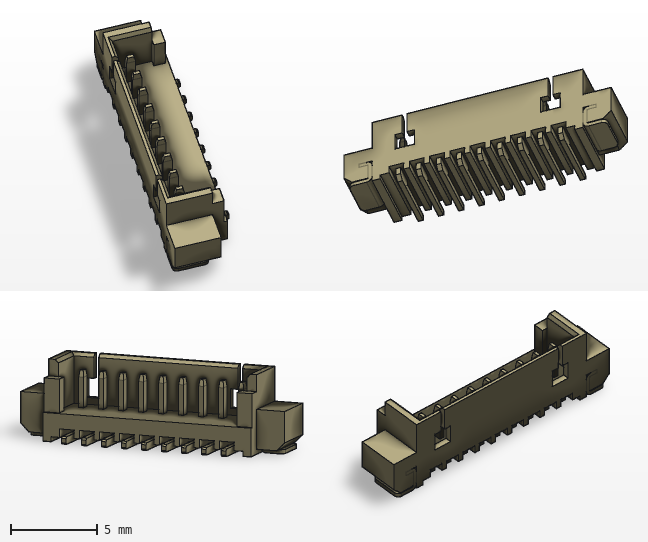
import cadquery as cq


total_width = 16.5
total_height = 4.7
total_depth = 4.2

body_width = 13.0
base_depth = 3.7
floor_height = 1.7
wall_depth = 2.8
side_wall = 0.6
front_wall = 0.4
mouth_chamfer = 0.2
post_width = 0.95
post_back = 3.5
post_height = 3.7
half_body = body_width / 2
half_total = total_width / 2

wing_top = 2.65
wing_bottom = 0.3
wing_chamfer = 0.5

latch_slot_x = 4.5
latch_slot_width = 0.3
window_width = 1.2
window_bottom = 2.1
window_top = 3.25

pin_count = 9
pin_pitch = 1.25
pin_width = 0.3
pin_thickness = 0.55
pin_front = 0.95
pin_top = 3.9
pin_tip_width = 0.2
pin_tip_thickness = 0.4
pin_tip_height = 0.4
pin_foot_height = 0.45
pin_heel_front = 0.3
pin_heel_top = 1.2
pin_heel_chamfer = 0.3
pin_toe_chamfer = 0.1

leg_width = 0.5
leg_height = wing_bottom
pin_notch_width = 0.9
pin_notch_height = 0.8

clip_thickness = 0.25
clip_depth = 2.2
clip_top = 1.6
clip_hook_end = 7.3
clip_foot_end = 7.95
clip_inner_radius = 0.1
clip_outer_radius = clip_inner_radius + clip_thickness
clip_corner_radius = 0.3


def block(x_range, y_range, z_range):
    """Axis-aligned box between the given limits."""
    sizes = [high - low for low, high in (x_range, y_range, z_range)]
    corner = (x_range[0], y_range[0], z_range[0])
    return cq.Workplane("XY").box(*sizes, centered=False).translate(corner)


def both_ends(shape):
    """The shape together with its mirror image at the other end of the row."""
    return shape.union(shape.mirror("YZ"))


def pin_positions():
    first = -(pin_count - 1) * pin_pitch / 2
    return [first + index * pin_pitch for index in range(pin_count)]


def make_wing():
    wing = block((half_body, half_total), (0, wall_depth), (wing_bottom, wing_top))
    return wing.edges(">X and <Z").chamfer(wing_chamfer)


def make_cavity():
    """Mating space above the floor, open at the back and flared at the mouth."""
    inner_half = half_body - side_wall
    cavity = block((-inner_half, inner_half), (front_wall, base_depth), (floor_height, total_height))
    flare_width = 2 * (inner_half + mouth_chamfer)
    flare_front = front_wall - mouth_chamfer
    flare_depth = base_depth + mouth_chamfer - flare_front
    flare = (
        cq.Workplane("XY", origin=(0, flare_front + flare_depth / 2, total_height))
        .rect(flare_width, flare_depth)
        .workplane(offset=-mouth_chamfer)
        .rect(flare_width - 2 * mouth_chamfer, flare_depth - 2 * mouth_chamfer)
        .loft(combine=True)
    )
    return cavity.union(flare)


def make_latch_opening():
    """T-shaped opening: a narrow slot from the top edge down into a wider window."""
    slot = block(
        (latch_slot_x - latch_slot_width / 2, latch_slot_x + latch_slot_width / 2),
        (0, front_wall),
        (window_top, total_height),
    )
    window = block(
        (latch_slot_x - window_width / 2, latch_slot_x + window_width / 2),
        (0, front_wall),
        (window_bottom, window_top),
    )
    return slot.union(window)


def make_underside_relief():
    relief_half = half_body - leg_width
    relief = block((-relief_half, relief_half), (0, base_depth), (0, leg_height))
    for x in pin_positions():
        half_notch = pin_notch_width / 2
        relief = relief.union(block((x - half_notch, x + half_notch), (0, base_depth), (0, pin_notch_height)))
    return relief


def make_housing():
    base = block((-half_body, half_body), (0, base_depth), (0, floor_height))
    shroud = block((-half_body, half_body), (0, wall_depth), (0, total_height)).cut(make_cavity())
    post = block((half_body - post_width, half_body), (wall_depth, post_back), (0, post_height))
    wings = both_ends(make_wing())
    housing = base.union(shroud).union(both_ends(post)).union(wings)
    housing = housing.cut(both_ends(make_latch_opening()))
    return housing.cut(make_underside_relief())


def make_pin(x):
    """Contact: upright blade with a tapered tip, a heel near the front and a foot running to the back."""
    pin_back = pin_front + pin_thickness
    shoulder = pin_top - pin_tip_height
    blade_and_foot = (
        cq.Workplane("YZ", origin=(x - pin_width / 2, 0, 0))
        .moveTo(pin_heel_front + pin_heel_chamfer, 0)
        .lineTo(total_depth - pin_toe_chamfer, 0)
        .lineTo(total_depth, pin_toe_chamfer)
        .lineTo(total_depth, pin_foot_height - pin_toe_chamfer)
        .lineTo(total_depth - pin_toe_chamfer, pin_foot_height)
        .lineTo(pin_back, pin_foot_height)
        .lineTo(pin_back, shoulder)
        .lineTo(pin_front, shoulder)
        .lineTo(pin_front, pin_heel_top)
        .lineTo(pin_heel_front, pin_heel_top)
        .lineTo(pin_heel_front, pin_heel_chamfer)
        .close()
        .extrude(pin_width)
    )
    tip = (
        cq.Workplane("XY", origin=(x, pin_front + pin_thickness / 2, shoulder))
        .rect(pin_width, pin_thickness)
        .workplane(offset=pin_tip_height)
        .rect(pin_tip_width, pin_tip_thickness)
        .loft(combine=True)
    )
    return blade_and_foot.union(tip)


def make_clip_slot():
    """C-shaped channel with sharp corners that holds the clip."""
    inner_x = half_body + clip_thickness
    return (
        cq.Workplane("XZ")
        .moveTo(clip_hook_end, clip_top)
        .lineTo(half_body, clip_top)
        .lineTo(half_body, 0)
        .lineTo(clip_foot_end, 0)
        .lineTo(clip_foot_end, clip_thickness)
        .lineTo(inner_x, clip_thickness)
        .lineTo(inner_x, clip_top - clip_thickness)
        .lineTo(clip_hook_end, clip_top - clip_thickness)
        .close()
        .extrude(-clip_depth)
    )


def make_clip():
    """Strip bent into a C: hook inside the wing, upright on the body, foot on the board."""
    inner_x = half_body + clip_thickness
    inner_bends = cq.selectors.BoxSelector(
        (inner_x - clip_inner_radius, 0, 0), (inner_x + clip_inner_radius, clip_depth, clip_top)
    )
    clip = make_clip_slot()
    clip = clip.edges("|Y and <X").fillet(clip_outer_radius)
    clip = clip.edges("|Y").edges(inner_bends).fillet(clip_inner_radius)
    return clip.edges("|Z and >X").fillet(clip_corner_radius)


result = make_housing().cut(both_ends(make_clip_slot()))
for pin_x in pin_positions():
    result = result.union(make_pin(pin_x))
result = result.union(both_ends(make_clip()), clean=False)